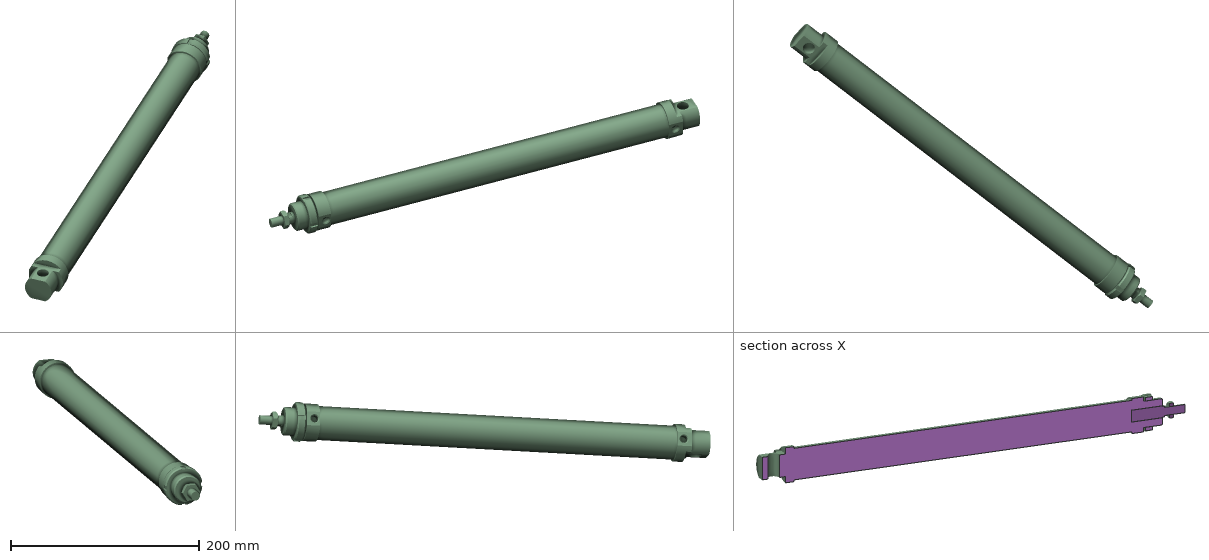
import cadquery as cq
import math

total_length = 489.0
rear_end = -total_length / 2
rod_tip = total_length / 2
eye_hole_y = -231.0
eye_shoulder = -223.5
eye_flat_start = -217.5
rear_cap_start = -207.5
front_cap_back = 182.5
front_cap_front = 196.5
collar_front = 218.5
rod_shoulder = 225.0

tube_radius = 18.0
cap_radius = 20.0
collar_radius = 15.0
collar_chamfer = 1.2
eye_radius = 15.0
eye_thickness = 26.0
eye_hole_radius = 6.5

port_flat_x = -18.5
port_radius = 4.0
port_chamfer = 1.0
port_depth = 7.5
chamfer_angle = 45
front_port_y = 188.5
rear_port_y = -214.5

rod_radius = 6.5
thread_radius = 5.0
rod_flats_width = 10.0
rod_flats_length = 4.0

rod_nut_sides = 6
rod_nut_width = 17.0
rod_nut_thickness = 5.5
rod_nut_back = 226.0
rod_nut_chamfer = 1.2

mount_nut_diameter = 42.0
mount_nut_thickness = 9.0
mount_nut_back = 198.0
mount_nut_chamfer = 1.2
spanner_slot_count = 4
spanner_slot_width = 5.0
spanner_slot_depth = 2.0


def cylinder_along_y(radius, start, end):
    """Round bar on the cylinder axis between two stations."""
    return cq.Workplane("XZ", origin=(0, start, 0)).circle(radius).extrude(start - end)


def cut_port(cap, port_y):
    """Mill the flat on the -X side of a cap and sink a blind port into it."""
    flat_cutter = cq.Workplane("YZ", origin=(port_flat_x, 0, 0)).rect(total_length, 2 * cap_radius)
    cap = cap.cut(flat_cutter.extrude(-cap_radius))

    mouth_plane = cq.Workplane("YZ", origin=(port_flat_x, port_y, 0))
    port = mouth_plane.circle(port_radius).extrude(port_depth)
    mouth = mouth_plane.circle(port_radius + port_chamfer).extrude(port_chamfer, taper=chamfer_angle)
    return cap.cut(port).cut(mouth)


def make_barrel():
    tube = cylinder_along_y(tube_radius, rear_cap_start, front_cap_back)
    front_cap = cylinder_along_y(cap_radius, front_cap_back, front_cap_front)
    rear_cap = cylinder_along_y(cap_radius, eye_shoulder, rear_cap_start)
    collar = cylinder_along_y(collar_radius, front_cap_front, collar_front)
    collar = collar.faces(">Y").edges().chamfer(collar_chamfer)
    eye = cylinder_along_y(eye_radius, rear_end, eye_shoulder)

    eye_flat_length = eye_flat_start - rear_end
    eye_slab = cq.Workplane("XY").box(2 * cap_radius, eye_flat_length, eye_thickness)
    eye_slab = eye_slab.translate((0, (rear_end + eye_flat_start) / 2, 0))
    full_round = cylinder_along_y(cap_radius, eye_flat_start, rear_cap_start)
    rear_end_piece = rear_cap.union(eye).intersect(eye_slab.union(full_round))
    eye_hole = cq.Workplane("XY", origin=(0, eye_hole_y, 0)).circle(eye_hole_radius)
    rear_end_piece = rear_end_piece.cut(eye_hole.extrude(eye_thickness / 2, both=True))

    front_cap = cut_port(front_cap, front_port_y)
    rear_end_piece = cut_port(rear_end_piece, rear_port_y)
    rod_bore = cylinder_along_y(rod_radius, front_cap_back, collar_front)
    return tube.union(front_cap).union(collar).union(rear_end_piece).cut(rod_bore)


def make_rod():
    thread = cylinder_along_y(thread_radius, rod_shoulder, rod_tip)
    rod = cylinder_along_y(rod_radius, front_cap_back, rod_shoulder)

    flats_center = rod_shoulder - rod_flats_length / 2
    for side in (-1, 1):
        flat_cutter = cq.Workplane("XY").box(2 * rod_radius, rod_flats_length, rod_radius)
        rod = rod.cut(flat_cutter.translate((0, flats_center, side * (rod_flats_width + rod_radius) / 2)))
    return rod.union(thread)


def make_rod_nut():
    """Hexagon nut with corners on +X and -X, chamfered on the face toward the cylinder."""
    front = rod_nut_back + rod_nut_thickness
    corner_radius = rod_nut_width / 2 / math.cos(math.pi / rod_nut_sides)
    hexagon = cq.Workplane("XZ", origin=(0, rod_nut_back, 0)).polygon(rod_nut_sides, 2 * corner_radius)
    prism = hexagon.extrude(-rod_nut_thickness)
    blank = cylinder_along_y(corner_radius, rod_nut_back, front).faces("<Y").edges().chamfer(rod_nut_chamfer)
    return prism.intersect(blank).cut(cylinder_along_y(thread_radius, rod_nut_back, front))


def make_mounting_nut():
    front = mount_nut_back + mount_nut_thickness
    outer_radius = mount_nut_diameter / 2
    nut = cylinder_along_y(outer_radius, mount_nut_back, front)
    nut = nut.faces("<Y or >Y").edges().chamfer(mount_nut_chamfer)

    middle = (mount_nut_back + front) / 2
    slot_cutter = cq.Workplane("XY").box(spanner_slot_width, mount_nut_thickness, 2 * spanner_slot_depth)
    slot_cutter = slot_cutter.translate((0, middle, outer_radius))
    slot_pitch = 360 / spanner_slot_count
    for index in range(spanner_slot_count):
        nut = nut.cut(slot_cutter.rotate((0, 0, 0), (0, 1, 0), index * slot_pitch))
    return nut.cut(cylinder_along_y(collar_radius, mount_nut_back, front))


barrel = make_barrel()
rod = make_rod()
rod_nut = make_rod_nut()
mounting_nut = make_mounting_nut()
result = cq.Compound.makeCompound([barrel.val(), rod.val(), rod_nut.val(), mounting_nut.val()])